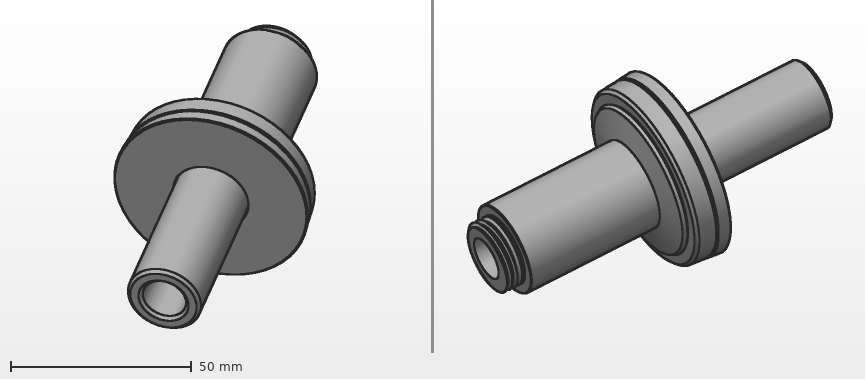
import cadquery as cq
import math


spindle_radius = 10.6
bore_radius = 6.2
overall_length = 107.7
front_y = -45.0
rear_y = front_y + overall_length
spindle_chamfer = 1.0

neck_radius = 9.9
thread_root_radius = 9.5
collar_crest_y = 57.7
collar_end_y = 58.7
thread_pitch = 1.7
thread_start_y = 58.4
thread_half_width = 0.8
thread_embed = 0.2
blank_extra_length = 5.4

base_rim_radius = 55.9 / 2
base_back_radius = 27.6
base_bore_radius = 10.9
base_thickness = 4.3
base_edge = 0.3

ring_front_radius = 27.5
ring_back_radius = 27.0
ring_back_y = 11.0
ring_edge = 0.4
ring_chamfer = 1.0

washer_rim_radius = 23.0
washer_shoulder_radius = 22.4
washer_rim_y = 11.4
washer_shoulder_y = 12.6
washer_back_y = 14.3
washer_edge = 0.3

sleeve_radius = 13.6
sleeve_back_y = 56.8
sleeve_chamfer = 0.2


def revolve_about_y(points):
    """Turn a closed (radius, y) outline about the Y axis."""
    return cq.Workplane("XY").polyline(points).close().revolve(360, (0, 0, 0), (0, 1, 0))


def make_thread():
    """Right-hand V ridge that runs past the rear end of the spindle."""
    turns = math.ceil((rear_y - thread_start_y) / thread_pitch) + 1
    inner_radius = thread_root_radius - thread_embed
    path = cq.Wire.makeHelix(thread_pitch, turns * thread_pitch, inner_radius)
    return (
        cq.Workplane("XZ")
        .polyline([
            (inner_radius, -thread_half_width),
            (spindle_radius, 0),
            (inner_radius, thread_half_width),
        ])
        .close()
        .sweep(cq.Workplane(path), isFrenet=True)
        .rotate((0, 0, 0), (1, 0, 0), -90)
        .translate((0, thread_start_y, 0))
    )


def make_spindle():
    """Shaft and thread joined over-long, then trimmed flush at the rear."""
    blank_end_y = rear_y + blank_extra_length
    shaft = revolve_about_y([
        (bore_radius + spindle_chamfer, front_y),
        (spindle_radius - spindle_chamfer, front_y),
        (spindle_radius, front_y + spindle_chamfer),
        (spindle_radius, sleeve_back_y),
        (neck_radius, sleeve_back_y),
        (spindle_radius, collar_crest_y),
        (thread_root_radius, collar_end_y),
        (thread_root_radius, blank_end_y),
        (bore_radius, blank_end_y),
        (bore_radius, front_y + spindle_chamfer),
    ])
    trim = cq.Workplane("XZ", origin=(0, rear_y, 0)).circle(sleeve_radius).extrude(-2 * blank_extra_length)
    return shaft.union(make_thread()).cut(trim).solids()


def make_base_disc():
    return revolve_about_y([
        (base_bore_radius, 0),
        (base_rim_radius - base_edge, 0),
        (base_rim_radius, base_edge),
        (base_back_radius, base_thickness - base_edge),
        (base_back_radius - base_edge, base_thickness),
        (base_bore_radius, base_thickness),
    ])


def make_ring():
    return revolve_about_y([
        (spindle_radius, base_thickness),
        (ring_front_radius - ring_edge, base_thickness),
        (ring_front_radius, base_thickness + ring_edge),
        (ring_back_radius, ring_back_y - ring_chamfer),
        (ring_back_radius - ring_chamfer, ring_back_y),
        (spindle_radius, ring_back_y),
    ])


def make_washer():
    return revolve_about_y([
        (spindle_radius, ring_back_y),
        (washer_rim_radius - washer_edge, ring_back_y),
        (washer_rim_radius, washer_rim_y),
        (washer_shoulder_radius, washer_shoulder_y),
        (sleeve_radius, washer_back_y),
        (spindle_radius, washer_back_y),
    ])


def make_sleeve():
    return revolve_about_y([
        (spindle_radius, washer_back_y),
        (sleeve_radius, washer_back_y),
        (sleeve_radius, sleeve_back_y - sleeve_chamfer),
        (sleeve_radius - sleeve_chamfer, sleeve_back_y),
        (spindle_radius, sleeve_back_y),
    ])


spindle = make_spindle()
base_disc = make_base_disc()
ring = make_ring()
washer = make_washer()
sleeve = make_sleeve()

result = cq.Compound.makeCompound([
    spindle.val(),
    base_disc.val(),
    ring.val(),
    washer.val(),
    sleeve.val(),
])